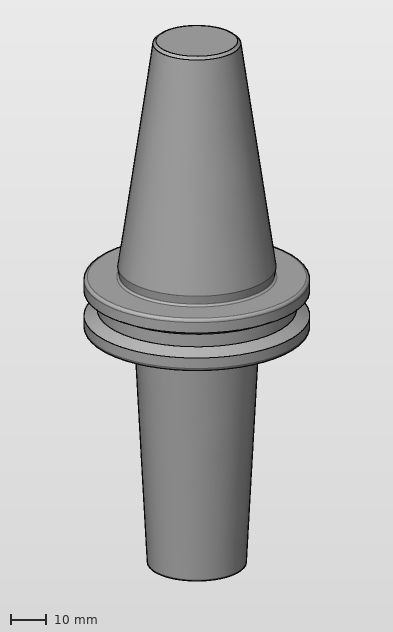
import cadquery as cq
import math

total_length = 158.4
taper_length = 68.5
gauge_z = total_length - taper_length

gauge_radius = 22.25
radius_slope = 7 / 48
taper_end_radius = gauge_radius - radius_slope * taper_length
taper_end_chamfer = 0.8

neck_length = 3.2
neck_base_radius = 21.9
neck_base_fillet = 0.6

flange_radius = 31.76
flange_thickness = 15.8
flange_edge_fillet = 1.0
flange_top_z = gauge_z - neck_length
flange_bottom_z = flange_top_z - flange_thickness
groove_floor_radius = 28.0
groove_floor_width = 3.8
groove_flank_angle = 27
groove_centre_z = (flange_top_z + flange_bottom_z) / 2

nose_tip_radius = 14.0
nose_root_radius = 17.5
nose_blend_radius = 4.8
nose_tip_fillet = 0.5


def make_taper():
    """Taper and its neck, down to the top of the flange."""
    arc_inset = neck_base_fillet * (1 - math.sqrt(0.5))
    fillet_top_z = flange_top_z + neck_base_fillet
    profile = (
        cq.Workplane("XZ")
        .moveTo(0, flange_top_z)
        .lineTo(neck_base_radius + neck_base_fillet, flange_top_z)
        .threePointArc(
            (neck_base_radius + arc_inset, flange_top_z + arc_inset),
            (neck_base_radius, fillet_top_z),
        )
        .lineTo(gauge_radius, gauge_z)
        .lineTo(taper_end_radius, total_length)
        .lineTo(0, total_length)
        .close()
    )
    return profile.revolve(360, (0, 0), (0, 1)).faces(">Z").edges().chamfer(taper_end_chamfer)


def make_flange():
    """Disc with rounded rims and a V groove around its edge."""
    disc = (
        cq.Workplane("XY", origin=(0, 0, flange_bottom_z))
        .circle(flange_radius)
        .extrude(flange_thickness)
        .faces("<Z or >Z")
        .edges()
        .fillet(flange_edge_fillet)
    )
    floor_half = groove_floor_width / 2
    groove_depth = flange_radius - groove_floor_radius
    mouth_half = floor_half + groove_depth * math.tan(math.radians(groove_flank_angle))
    groove = (
        cq.Workplane("XZ")
        .moveTo(groove_floor_radius, groove_centre_z - floor_half)
        .lineTo(flange_radius, groove_centre_z - mouth_half)
        .lineTo(flange_radius, groove_centre_z + mouth_half)
        .lineTo(groove_floor_radius, groove_centre_z + floor_half)
        .close()
        .revolve(360, (0, 0), (0, 1))
    )
    return disc.cut(groove)


def make_nose():
    """Conical nose with a rounded tip and a concave blend under the flange."""
    blend_start_z = flange_bottom_z - nose_blend_radius
    blend_outer_radius = nose_root_radius + nose_blend_radius
    diagonal = nose_blend_radius * math.sqrt(0.5)
    profile = (
        cq.Workplane("XZ")
        .lineTo(nose_tip_radius, 0)
        .lineTo(nose_root_radius, blend_start_z)
        .threePointArc(
            (blend_outer_radius - diagonal, blend_start_z + diagonal),
            (blend_outer_radius, flange_bottom_z),
        )
        .lineTo(0, flange_bottom_z)
        .close()
    )
    return profile.revolve(360, (0, 0), (0, 1)).faces("<Z").edges().fillet(nose_tip_fillet)


result = make_flange().union(make_taper()).union(make_nose())